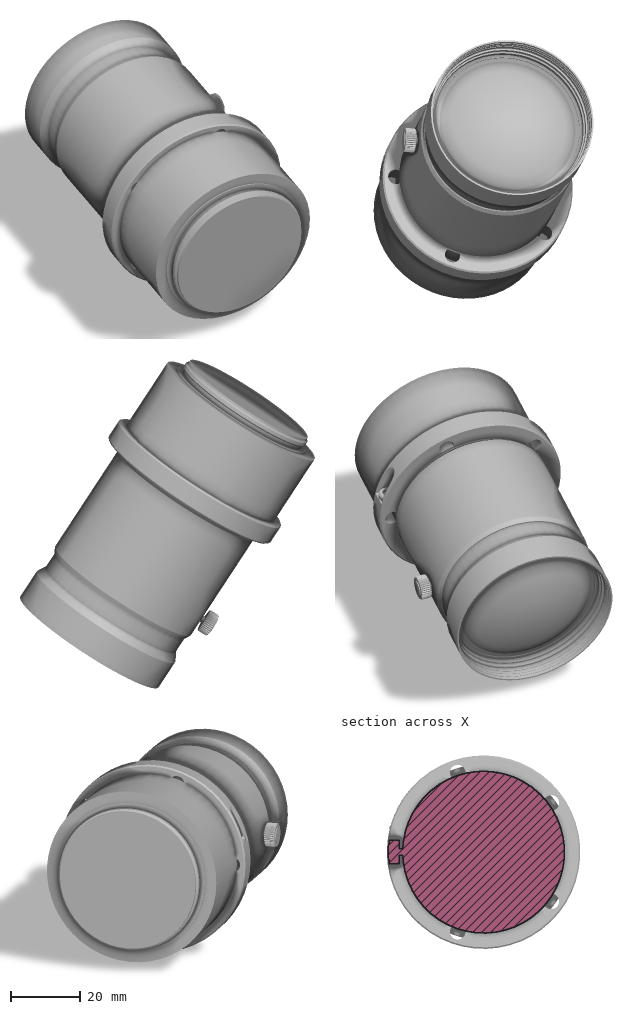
import cadquery as cq
import math

LENGTH = 85.0
RIM_DIA = 47.95
RIM_END = 8.9
GROOVE_DIA = 45.0
GROOVE_START = 11.4
GROOVE_END = 16.7
BODY_DIA = 47.0
BODY_START = 18.0
BODY_LEAD_DIA = 45.7
BODY_END = 51.6

WAIST_DIA = 44.3
WAIST_NOTCH_DIA = 44.0
WAIST_NOTCH_START = 52.0
WAIST_NOTCH_END = 52.4
COLLAR_DIA = 45.2
COLLAR_START = 52.7

FLANGE_DIA = 56.0
FLANGE_START = 53.1
FLANGE_END = 59.35
FLANGE_CHAMFER = 0.4
BARREL_DIA = 51.0
BARREL_END = 80.9
BARREL_STEP_DIA = 44.3
BARREL_STEP_END = 81.3

MOUNT_NECK_DIA = 40.8
MOUNT_DIA = 42.0
MOUNT_RIDGE_START = 82.9
MOUNT_RIDGE_END = 84.3
MOUNT_BEVEL = 0.4

MOUTH_BORES = [
    (1.0, 47.0),
    (2.0, 46.8),
    (3.15, 46.6),
    (4.4, 46.3),
    (5.7, 45.2),
    (7.05, 44.3),
]
SEAT_DIA = 42.5
LENS_DIA = 40.0
LENS_RIM_DEPTH = 7.3
LENS_APEX_DEPTH = 1.7

HOLE_DIA = 4.5
HOLE_CIRCLE_RADIUS = 24.2
HOLE_COUNT = 5
SLEEVE_DIA = 46.3

CLAMP_X = (FLANGE_START + FLANGE_END) / 2
CLAMP_Y = 25.0
CLAMP_POCKET_DIA = 4.8
CLAMP_POCKET_FLOOR = 5.95
CLAMP_HEAD_DIA = 4.5
CLAMP_HEAD_HEIGHT = 1.9
CLAMP_HEAD_CHAMFER = 0.4
CLAMP_HEX_DIA = 2.5
CLAMP_HEX_DEPTH = 1.0

THUMB_X = 23.4
THUMB_STEM_DIA = 2.0
THUMB_HEAD_DIA = 7.0
THUMB_HEAD_START = 24.3
THUMB_HEAD_END = 27.5
THUMB_CHAMFER = 0.25
THUMB_CAP_DIA = 4.5
THUMB_CAP_HEIGHT = 0.25
KNURL_COUNT = 36
KNURL_DEPTH = 0.25


def make_body():
    """Revolve the outside of the lens barrel about X."""
    stations = [
        (0, RIM_DIA),
        (RIM_END, RIM_DIA),
        (GROOVE_START, GROOVE_DIA),
        (GROOVE_END, GROOVE_DIA),
        (GROOVE_END, BODY_LEAD_DIA),
        (BODY_START, BODY_DIA),
        (BODY_END, BODY_DIA),
        (BODY_END, WAIST_DIA),
        (WAIST_NOTCH_START, WAIST_DIA),
        (WAIST_NOTCH_START, WAIST_NOTCH_DIA),
        (WAIST_NOTCH_END, WAIST_NOTCH_DIA),
        (WAIST_NOTCH_END, WAIST_DIA),
        (COLLAR_START, WAIST_DIA),
        (COLLAR_START, COLLAR_DIA),
        (FLANGE_START, COLLAR_DIA),
        (FLANGE_START, FLANGE_DIA - 2 * FLANGE_CHAMFER),
        (FLANGE_START + FLANGE_CHAMFER, FLANGE_DIA),
        (FLANGE_END - FLANGE_CHAMFER, FLANGE_DIA),
        (FLANGE_END, FLANGE_DIA - 2 * FLANGE_CHAMFER),
        (FLANGE_END, BARREL_DIA),
        (BARREL_END, BARREL_DIA),
        (BARREL_END, BARREL_STEP_DIA),
        (BARREL_STEP_END, BARREL_STEP_DIA),
        (BARREL_STEP_END, MOUNT_NECK_DIA),
        (MOUNT_RIDGE_START - MOUNT_BEVEL, MOUNT_NECK_DIA),
        (MOUNT_RIDGE_START, MOUNT_DIA),
        (MOUNT_RIDGE_END - MOUNT_BEVEL, MOUNT_DIA),
        (MOUNT_RIDGE_END, MOUNT_NECK_DIA),
        (LENGTH, MOUNT_NECK_DIA),
    ]
    profile = cq.Workplane("XY").moveTo(0, 0)
    for x, diameter in stations:
        profile = profile.lineTo(x, diameter / 2)
    return profile.lineTo(LENGTH, 0).close().revolve(360, (0, 0, 0), (1, 0, 0))


def make_front_opening():
    """Revolve the space in front of the lens, bounded by the dome at its back."""
    lens_radius = LENS_DIA / 2
    dome_rise = LENS_RIM_DEPTH - LENS_APEX_DEPTH
    dome_radius = (lens_radius**2 + dome_rise**2) / (2 * dome_rise)
    half_angle = math.asin(lens_radius / dome_radius) / 2
    dome_mid_x = LENS_APEX_DEPTH + dome_radius * (1 - math.cos(half_angle))
    dome_mid_radius = dome_radius * math.sin(half_angle)

    profile = cq.Workplane("XY").moveTo(0, 0)
    bore_start = 0
    for bore_end, diameter in MOUTH_BORES:
        profile = profile.lineTo(bore_start, diameter / 2).lineTo(bore_end, diameter / 2)
        bore_start = bore_end
    return (
        profile.lineTo(bore_start, SEAT_DIA / 2)
        .lineTo(LENS_RIM_DEPTH, SEAT_DIA / 2)
        .lineTo(LENS_RIM_DEPTH, lens_radius)
        .threePointArc((dome_mid_x, dome_mid_radius), (LENS_APEX_DEPTH, 0))
        .close()
        .revolve(360, (0, 0, 0), (1, 0, 0))
    )


def make_flange_holes():
    """Holes through the flange, cut off on their inner side by the sleeve of the flange."""
    thickness = FLANGE_END - FLANGE_START
    face = cq.Workplane("YZ", origin=(FLANGE_START, 0, 0))
    holes = face.polarArray(HOLE_CIRCLE_RADIUS, 0, 360, HOLE_COUNT).circle(HOLE_DIA / 2).extrude(thickness)
    sleeve = face.circle(SLEEVE_DIA / 2).extrude(thickness)
    return holes.cut(sleeve)


def make_clamp_pocket():
    """Round-bottomed pocket, open upwards and towards +Y."""
    height = FLANGE_DIA / 2 - CLAMP_POCKET_FLOOR
    reach = FLANGE_DIA / 2 - CLAMP_Y
    base = cq.Workplane("XY", origin=(CLAMP_X, CLAMP_Y, CLAMP_POCKET_FLOOR))
    bore = base.circle(CLAMP_POCKET_DIA / 2).extrude(height)
    opening = base.center(0, reach / 2).rect(CLAMP_POCKET_DIA, reach).extrude(height)
    return bore.union(opening)


def make_clamp_head():
    """Socket head of the clamp screw, standing on the pocket floor."""
    return (
        cq.Workplane("XY", origin=(CLAMP_X, CLAMP_Y, CLAMP_POCKET_FLOOR))
        .circle(CLAMP_HEAD_DIA / 2)
        .extrude(CLAMP_HEAD_HEIGHT)
        .faces(">Z")
        .chamfer(CLAMP_HEAD_CHAMFER)
        .faces(">Z")
        .workplane()
        .transformed(rotate=(0, 0, 90))
        .polygon(6, CLAMP_HEX_DIA)
        .cutBlind(-CLAMP_HEX_DEPTH)
    )


def make_thumb_screw():
    """Knurled head on a thin stem that reaches into the lens body."""
    head_radius = THUMB_HEAD_DIA / 2
    knurl_points = []
    for index in range(2 * KNURL_COUNT):
        angle = math.pi * index / KNURL_COUNT
        radius = head_radius - KNURL_DEPTH * (index % 2)
        knurl_points.append((radius * math.cos(angle), radius * math.sin(angle)))

    def plane_at(y):
        return cq.Workplane(cq.Plane(origin=(THUMB_X, y, 0), xDir=(1, 0, 0), normal=(0, 1, 0)))

    head_height = THUMB_HEAD_END - THUMB_HEAD_START
    chamfered_blank = (
        plane_at(THUMB_HEAD_START).circle(head_radius).extrude(head_height).edges().chamfer(THUMB_CHAMFER)
    )
    head = plane_at(THUMB_HEAD_START).polyline(knurl_points).close().extrude(head_height)
    head = head.intersect(chamfered_blank)
    cap = plane_at(THUMB_HEAD_END).circle(THUMB_CAP_DIA / 2).extrude(THUMB_CAP_HEIGHT)
    stem_start = GROOVE_DIA / 2
    stem = plane_at(stem_start).circle(THUMB_STEM_DIA / 2).extrude(THUMB_HEAD_START - stem_start)
    return head.union(cap).union(stem)


result = (
    make_body()
    .cut(make_front_opening())
    .cut(make_flange_holes())
    .cut(make_clamp_pocket())
    .union(make_clamp_head())
    .union(make_thumb_screw())
)